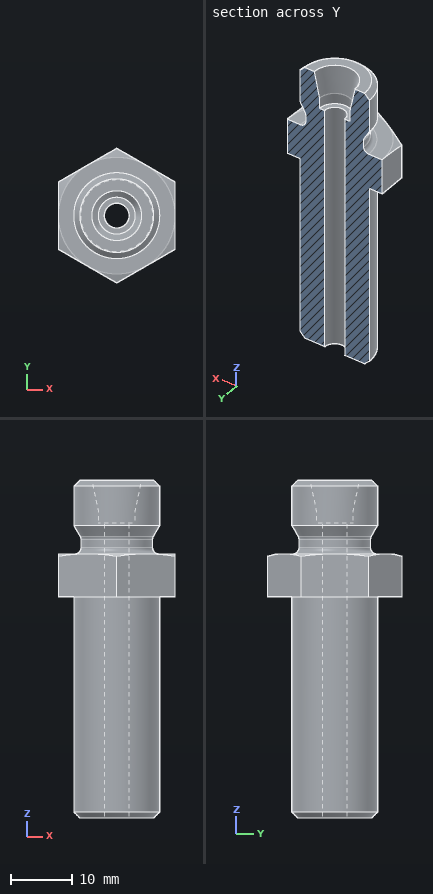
import cadquery as cq
import math

total_length = 55.0
stud_length = 12.0
hex_height = 7.0
hex_top_z = total_length - stud_length
hex_bottom_z = hex_top_z - hex_height

body_radius = 14.0 / 2
end_chamfer = 1.0

across_flats = 19.0
across_corners = across_flats / math.cos(math.radians(30))
hex_chamfer_angle = 15.0

neck_radius = 11.7 / 2
neck_fillet = 1.0
runout_angle = 30.0
stud_land_length = 7.4

through_radius = 4.0 / 2
socket_radius = 6.0 / 2
socket_depth = 7.0
mouth_radius = 8.1 / 2
mouth_half_angle = 12.0


def make_shank():
    """Lower cylinder with a chamfered bottom end."""
    shank = cq.Workplane("XY").circle(body_radius).extrude(hex_bottom_z)
    return shank.faces("<Z").chamfer(end_chamfer)


def make_hexagon():
    """Hexagon collar whose upper corners are turned down by a shallow cone."""
    hexagon = (
        cq.Workplane("XY", origin=(0, 0, hex_bottom_z))
        .transformed(rotate=(0, 0, 90))
        .polygon(6, across_corners)
        .extrude(hex_height)
    )
    flat_radius = across_flats / 2
    corner_radius = across_corners / 2
    corner_drop = (corner_radius - flat_radius) * math.tan(math.radians(hex_chamfer_angle))
    envelope_radius = 2 * corner_radius - flat_radius
    envelope = (
        cq.Workplane("XZ")
        .moveTo(0, hex_bottom_z)
        .lineTo(envelope_radius, hex_bottom_z)
        .lineTo(envelope_radius, hex_top_z - 2 * corner_drop)
        .lineTo(flat_radius, hex_top_z)
        .lineTo(0, hex_top_z)
        .close()
        .revolve(360, (0, 0, 0), (0, 1, 0))
    )
    return hexagon.intersect(envelope)


def make_stud():
    """Upper stud with chamfered end, run-out cone and filleted undercut neck."""
    slope = math.radians(runout_angle)
    cone_top_z = total_length - stud_land_length
    cone_bottom_z = cone_top_z - (body_radius - neck_radius) / math.tan(slope)

    tangent_length = neck_fillet * math.tan(slope / 2)
    fillet_centre_r = neck_radius + neck_fillet
    fillet_centre_z = cone_bottom_z - tangent_length

    def cone_fillet_point(angle):
        return (
            fillet_centre_r - neck_fillet * math.cos(angle),
            fillet_centre_z + neck_fillet * math.sin(angle),
        )

    root_centre_z = hex_top_z + neck_fillet
    root_mid_offset = neck_fillet * math.sqrt(0.5)
    root_mid = (fillet_centre_r - root_mid_offset, root_centre_z - root_mid_offset)

    return (
        cq.Workplane("XZ")
        .moveTo(0, total_length)
        .lineTo(body_radius - end_chamfer, total_length)
        .lineTo(body_radius, total_length - end_chamfer)
        .lineTo(body_radius, cone_top_z)
        .lineTo(*cone_fillet_point(slope))
        .threePointArc(cone_fillet_point(slope / 2), cone_fillet_point(0))
        .lineTo(neck_radius, root_centre_z)
        .threePointArc(root_mid, (fillet_centre_r, hex_top_z))
        .lineTo(0, hex_top_z)
        .close()
        .revolve(360, (0, 0, 0), (0, 1, 0))
    )


def make_bore():
    """Through hole, opened at the top into a socket with a conical mouth."""
    mouth_depth = (mouth_radius - socket_radius) / math.tan(math.radians(mouth_half_angle))
    socket_floor_z = total_length - socket_depth
    return (
        cq.Workplane("XZ")
        .moveTo(0, 0)
        .lineTo(through_radius, 0)
        .lineTo(through_radius, socket_floor_z)
        .lineTo(socket_radius, socket_floor_z)
        .lineTo(socket_radius, total_length - mouth_depth)
        .lineTo(mouth_radius, total_length)
        .lineTo(0, total_length)
        .close()
        .revolve(360, (0, 0, 0), (0, 1, 0))
    )


result = make_shank().union(make_hexagon()).union(make_stud()).cut(make_bore())